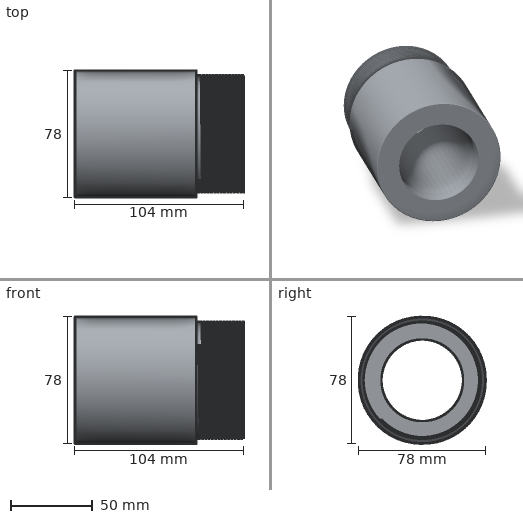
import cadquery as cq

total_length = 104.0
body_length = 74.9
body_diameter = 78.0
body_chamfer = 0.4
bore_diameter = 49.9

thread_diameter = 72.0
thread_pitch = 2.0
thread_depth = 1.1
crest_width = 0.4
root_width = thread_pitch / 8
thread_start = 76.9
thread_start_angle = 53.0
cutter_overlap = 0.1

radial_hole_diameter = 5.0
radial_hole_x = 12.1
radial_hole_depth = 10.4

thread_radius = thread_diameter / 2


def x_cylinder(diameter, start, end):
    return cq.Workplane("YZ", origin=(start, 0, 0)).circle(diameter / 2).extrude(end - start)


def thread_groove():
    """Helical V groove starting on the neck and running out past the free end."""
    root_radius = thread_radius - thread_depth
    outer_radius = thread_radius + cutter_overlap
    flank_slope = (thread_pitch - crest_width - root_width) / 2 / thread_depth
    root_half_width = root_width / 2
    outer_half_width = root_half_width + flank_slope * (thread_depth + cutter_overlap)
    helix_length = total_length + thread_pitch - thread_start

    section_corners = [
        (root_radius, -root_half_width),
        (outer_radius, -outer_half_width),
        (outer_radius, outer_half_width),
        (root_radius, root_half_width),
    ]
    helices = [
        cq.Wire.makeHelix(thread_pitch, helix_length, radius, center=cq.Vector(0, 0, offset))
        for radius, offset in section_corners
    ]

    faces = []
    for helix, next_helix in zip(helices, helices[1:] + helices[:1]):
        faces += cq.Face.makeRuledSurface(helix, next_helix).Faces()
    for helix_end in (0, 1):
        end_corners = [helix.positionAt(helix_end) for helix in helices]
        faces.append(cq.Face.makeFromWires(cq.Wire.makePolygon(end_corners, close=True)))
    groove = cq.Workplane(obj=cq.Solid.makeSolid(cq.Shell.makeShell(faces)))

    return (
        groove.rotate((0, 0, 0), (0, 1, 0), 90)
        .rotate((0, 0, 0), (1, 0, 0), 180 + thread_start_angle)
        .translate((thread_start, 0, 0))
    )


def radial_hole():
    return (
        cq.Workplane("XZ", origin=(radial_hole_x, 0, 0))
        .circle(radial_hole_diameter / 2)
        .extrude(-(bore_diameter / 2 + radial_hole_depth))
    )


body = x_cylinder(body_diameter, 0, body_length).edges("%CIRCLE").chamfer(body_chamfer)
threaded_neck = x_cylinder(thread_diameter, body_length - body_chamfer, total_length)
threaded_neck = threaded_neck.cut(thread_groove())
bore = x_cylinder(bore_diameter, 0, total_length)

result = body.union(threaded_neck).cut(bore).cut(radial_hole())